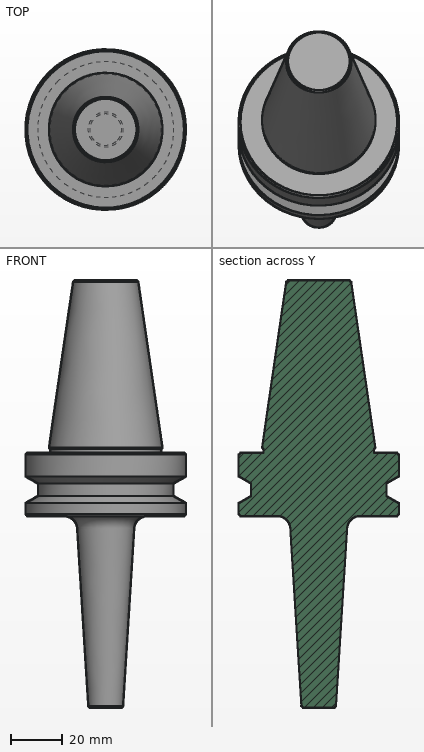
import cadquery as cq
import math


gauge_radius = 22.3
shank_length = 65.5
taper_per_diameter = 7 / 24
shank_end_chamfer = 0.7
shank_end_radius = gauge_radius - shank_length * taper_per_diameter / 2
shank_chamfer_start_radius = shank_end_radius + shank_end_chamfer * taper_per_diameter / 2

relief_height = 2.0
relief_depth = 0.5
relief_cone_height = 0.7

flange_radius = 31.5
flange_height = 25.0
flange_chamfer = 0.8
groove_floor_radius = 26.6
groove_floor_width = 4.9
groove_center_z = -16.5
groove_wall_angle = 30
flange_top_z = -relief_height
flange_bottom_z = flange_top_z - flange_height
groove_wall_height = (flange_radius - groove_floor_radius) * math.tan(math.radians(groove_wall_angle))
groove_floor_half = groove_floor_width / 2
groove_mouth_half = groove_floor_half + groove_wall_height

total_length = 167.4
nose_root_radius = 11.2
nose_tip_radius = 6.9
nose_tip_chamfer = 0.7
root_fillet = 5.0
nose_tip_z = shank_length - total_length
nose_root_z = flange_bottom_z - root_fillet
fillet_mid_offset = root_fillet * (1 - math.sqrt(0.5))

profile = (
    cq.Workplane("XZ")
    .moveTo(0, nose_tip_z)
    .lineTo(nose_tip_radius - nose_tip_chamfer, nose_tip_z)
    .lineTo(nose_tip_radius, nose_tip_z + nose_tip_chamfer)
    .lineTo(nose_root_radius, nose_root_z)
    .threePointArc(
        (nose_root_radius + fillet_mid_offset, flange_bottom_z - fillet_mid_offset),
        (nose_root_radius + root_fillet, flange_bottom_z),
    )
    .lineTo(flange_radius - flange_chamfer, flange_bottom_z)
    .lineTo(flange_radius, flange_bottom_z + flange_chamfer)
    .lineTo(flange_radius, groove_center_z - groove_mouth_half)
    .lineTo(groove_floor_radius, groove_center_z - groove_floor_half)
    .lineTo(groove_floor_radius, groove_center_z + groove_floor_half)
    .lineTo(flange_radius, groove_center_z + groove_mouth_half)
    .lineTo(flange_radius, flange_top_z - flange_chamfer)
    .lineTo(flange_radius - flange_chamfer, flange_top_z)
    .lineTo(gauge_radius - relief_depth, flange_top_z)
    .lineTo(gauge_radius - relief_depth, -relief_cone_height)
    .lineTo(gauge_radius, 0)
    .lineTo(shank_chamfer_start_radius, shank_length - shank_end_chamfer)
    .lineTo(shank_end_radius - shank_end_chamfer, shank_length)
    .lineTo(0, shank_length)
    .close()
)

result = profile.revolve(360, (0, 0, 0), (0, 1, 0))